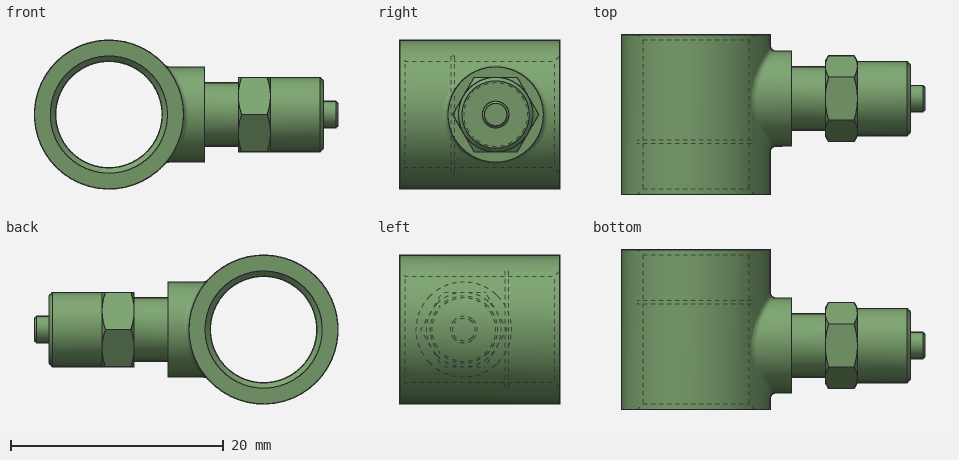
import cadquery as cq
import math


sleeve_diameter = 14.0
sleeve_radius = sleeve_diameter / 2
sleeve_length = 15.0
sleeve_front = -9.0
bore_radius = 4.99
bore_chamfer = 0.5

groove_start = 4.8
groove_width = 0.35
groove_depth = 0.5

boss_radius = 4.47
boss_end = 8.97
boss_fillet = 0.48
neck_radius = 3.0
nut_across_flats = sleeve_diameter / 2
nut_start = 12.15
nut_width = 3.02
nut_end = nut_start + nut_width
nut_chamfer_angle = 30
spigot_radius = nut_across_flats / 2
spigot_end = 20.15
spigot_chamfer = 0.35
pin_radius = 1.25
overall_length = 28.5
pin_end = overall_length - sleeve_radius
pin_chamfer = 0.2


def rod_along_x(radius, start, end):
    return cq.Workplane("YZ", origin=(start, 0, 0)).circle(radius).extrude(end - start)


def rod_along_y(radius, start, length):
    return cq.Workplane("XZ", origin=(0, start, 0)).circle(radius).extrude(-length)


def make_nut():
    """Hexagon with flats on top and bottom, its corners turned off by a cone at each end."""
    flat_radius = nut_across_flats / 2
    corner_radius = flat_radius / math.cos(math.pi / 6)
    chamfer_length = (corner_radius - flat_radius) * math.tan(math.radians(nut_chamfer_angle))
    hexagon = (
        cq.Workplane("YZ", origin=(nut_start, 0, 0))
        .polygon(6, 2 * corner_radius)
        .extrude(nut_width)
    )
    turned_blank = (
        cq.Workplane("XY")
        .polyline([
            (nut_start, 0),
            (nut_start, flat_radius),
            (nut_start + chamfer_length, corner_radius),
            (nut_end - chamfer_length, corner_radius),
            (nut_end, flat_radius),
            (nut_end, 0),
        ])
        .close()
        .revolve(360, (0, 0, 0), (1, 0, 0))
    )
    return hexagon.intersect(turned_blank)


def make_bore():
    """Through bore, widened by a chamfer at both mouths and by the inner groove."""
    sleeve_back = sleeve_front + sleeve_length
    mouth_radius = bore_radius + bore_chamfer
    groove_radius = bore_radius + groove_depth
    groove_front = sleeve_front + groove_start
    groove_back = groove_front + groove_width
    return (
        cq.Workplane("XY")
        .polyline([
            (0, sleeve_front),
            (mouth_radius, sleeve_front),
            (bore_radius, sleeve_front + bore_chamfer),
            (bore_radius, groove_front),
            (groove_radius, groove_front),
            (groove_radius, groove_back),
            (bore_radius, groove_back),
            (bore_radius, sleeve_back - bore_chamfer),
            (mouth_radius, sleeve_back),
            (0, sleeve_back),
        ])
        .close()
        .revolve(360, (0, 0, 0), (0, 1, 0))
    )


sleeve = rod_along_y(sleeve_radius, sleeve_front, sleeve_length)
body = sleeve.union(rod_along_x(boss_radius, 0, boss_end))
selection_margin = 0.28
selection_reach = boss_radius + selection_margin
meeting_zone = cq.selectors.BoxSelector(
    (0, -selection_reach, -selection_reach),
    (boss_end - selection_margin, selection_reach, selection_reach),
    boundingbox=True,
)
body = body.edges(meeting_zone).fillet(boss_fillet)

neck = rod_along_x(neck_radius, boss_end, nut_start)
spigot = rod_along_x(spigot_radius, nut_end, spigot_end).faces(">X").chamfer(spigot_chamfer)
pin = rod_along_x(pin_radius, spigot_end, pin_end).faces(">X").chamfer(pin_chamfer)

result = body.union(neck).union(make_nut()).union(spigot).union(pin).cut(make_bore())